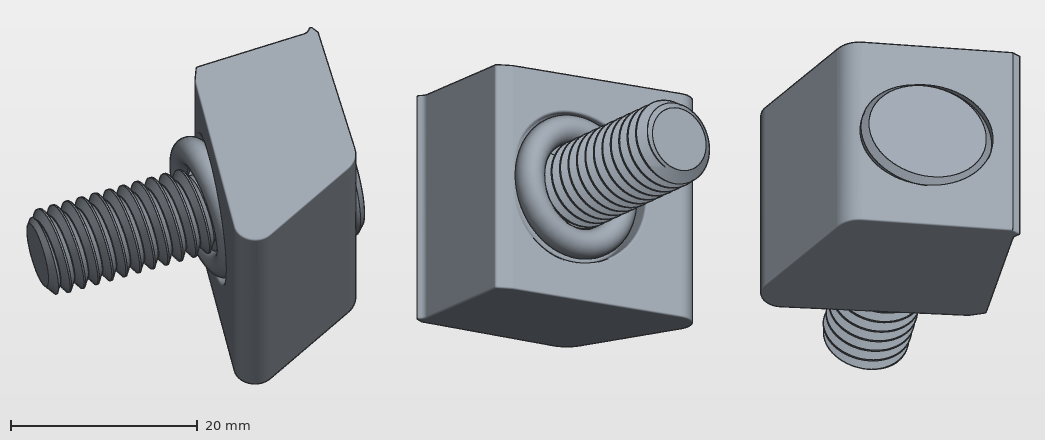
import cadquery as cq
import math


inch = 25.4
thread_diameter = 3 / 8 * inch
thread_radius = thread_diameter / 2
thread_pitch = inch / 16
thread_depth = 0.96
crest_flat = 0.2
root_flat = 0.08
screw_length = inch
tip_radius = 3.5
tip_cone_length = 0.98
head_radius = 9 / 16 * inch / 2
head_height = thread_diameter
head_chamfer = 0.72
crest_level = -9.05
thread_top_level = -6.5
ridge_sink = 0.04

ring_section_radius = inch / 8 / 2
ring_radius = thread_radius + ring_section_radius
ring_tilt = 4.0
ring_level = -6.0

block_height = inch
edge_round = 0.2

lip_top = (-9.26, 9.8)
lip_point = (-10.31, 9.28)
lip_root = (-9.6, 8.61)
heel = (-9.18, -4.13)
front_corner = (-7.43, -4.9)
nose = (17.015, -8.11)
back_corner = (8.54, 8.11)

lip_point_round = 0.21
lip_root_round = 0.8
heel_round = 0.3
nose_round = 2.286
back_corner_round = 3.05

pocket_radius = 8.4
pocket_corner_round = 1.1
pocket_edge_round = 0.25
pocket_reach = 12.0


def along_y(shape):
    """Turn a shape built along Z so that its axis lies along Y."""
    return shape.rotate((0, 0, 0), (1, 0, 0), -90)


def tilted_like_ring(shape):
    """Place a shape built around Z at the ring centre, with the ring's tilt."""
    turned = along_y(shape).rotate((0, 0, 0), (0, 0, 1), ring_tilt)
    return turned.translate((0, ring_level, 0))


def make_thread_ridge():
    """Right-hand helical ridge along Z, its foot sunk slightly into the thread core."""
    core_radius = thread_radius - thread_depth
    flank_slope = (thread_pitch - crest_flat - root_flat) / 2 / thread_depth
    crest_half = crest_flat / 2
    foot_half = crest_half + flank_slope * (thread_depth + ridge_sink)
    foot_radius = core_radius - ridge_sink
    profile = [
        (foot_radius, -foot_half),
        (thread_radius, -crest_half),
        (thread_radius, crest_half),
        (foot_radius, foot_half),
    ]

    start = crest_level - math.ceil((screw_length + crest_level) / thread_pitch) * thread_pitch
    length = thread_top_level - start
    helices = [
        cq.Wire.makeHelix(thread_pitch, length, radius).translate(cq.Vector(0, 0, start + offset))
        for radius, offset in profile
    ]
    faces = [
        cq.Face.makeRuledSurface(helix, helices[index - 1])
        for index, helix in enumerate(helices)
    ]
    for end in (0, 1):
        corners = [helix.positionAt(end) for helix in helices]
        faces.append(cq.Face.makeFromWires(cq.Wire.makePolygon(corners, close=True)))
    return cq.Workplane(cq.Solid.makeSolid(cq.Shell.makeShell(faces)))


def make_screw():
    cone_slope = (thread_radius - tip_radius) / tip_cone_length
    cone_top_radius = tip_radius + cone_slope * screw_length
    tip_point = cq.Vector(0, 0, -screw_length)
    tip_cone = cq.Solid.makeCone(tip_radius, cone_top_radius, screw_length, tip_point)
    envelope = cq.Workplane(tip_cone)
    core = cq.Workplane("XY").circle(thread_radius - thread_depth).extrude(-screw_length)
    thread = core.intersect(envelope).union(make_thread_ridge().intersect(envelope))
    shank = cq.Workplane("XY").circle(thread_radius).extrude(thread_top_level)
    head = (
        cq.Workplane("XY")
        .circle(head_radius)
        .extrude(head_height)
        .faces(">Z")
        .chamfer(head_chamfer)
    )
    return along_y(head.union(shank).union(thread))


def make_ring():
    ring = cq.Workplane("XY").add(cq.Solid.makeTorus(ring_radius, ring_section_radius))
    bore = cq.Workplane("XZ").circle(thread_radius).extrude(screw_length)
    return tilted_like_ring(ring).cut(bore)


def vertical_edge(point):
    """Select the block's Z-direction edge that passes through an outline point."""
    return cq.selectors.NearestToPointSelector((point[0], point[1], 0))


def make_block():
    outline = [lip_top, lip_point, lip_root, heel, front_corner, nose, back_corner]
    rounds = [
        (lip_root, lip_root_round),
        (lip_point, lip_point_round),
        (heel, heel_round),
        (nose, nose_round),
        (back_corner, back_corner_round),
    ]
    block = cq.Workplane("XY").polyline(outline).close().extrude(block_height / 2, both=True)
    for point, radius in rounds:
        block = block.edges("|Z").edges(vertical_edge(point)).fillet(radius)
    block = block.faces("|Z").edges().fillet(edge_round)

    pocket = (
        cq.Workplane("XY", origin=(0, 0, ring_section_radius))
        .circle(pocket_radius)
        .extrude(-pocket_reach)
        .faces(">Z")
        .edges()
        .fillet(pocket_corner_round)
    )
    block = block.cut(tilted_like_ring(pocket))

    clamp_normal = cq.Vector(nose[1] - front_corner[1], front_corner[0] - nose[0], 0)
    clamp_face = block.faces(cq.selectors.ParallelDirSelector(clamp_normal)).val()
    block = block.newObject(clamp_face.innerWires()[0].Edges()).fillet(pocket_edge_round)

    hole = cq.Workplane("XZ").circle(thread_radius).extrude(screw_length)
    counterbore = cq.Workplane("XZ").circle(head_radius).extrude(-2 * head_height)
    return block.cut(hole).cut(counterbore)


screw = make_screw()
ring = make_ring()
block = make_block()

result = cq.Compound.makeCompound([block.val(), ring.val(), screw.val()])